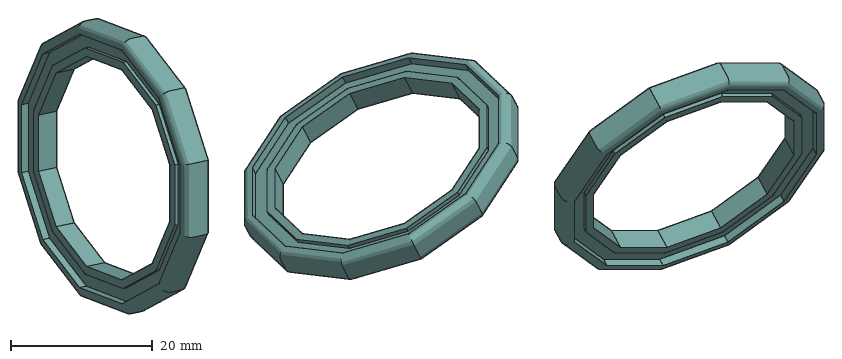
import cadquery as cq
import math

side_count = 12
width_across_flats = 40.48
thickness = 4.4
edge_radius = 1.2

groove_outer_inset = 1.6
groove_inner_inset = 3.6
bore_inset = 4.8

groove_depth = 1.2
lip_drop = 0.6


def prism(inset, depth):
    """Prism centred on the origin, with its flats set in from the outer flats."""
    half_width = width_across_flats / 2 - inset
    corner_diameter = 2 * half_width / math.cos(math.pi / side_count)
    half_step = 180 / side_count
    return (
        cq.Workplane("XZ")
        .polygon(side_count, corner_diameter)
        .extrude(depth / 2, both=True)
        .rotate((0, 0, 0), (0, 1, 0), half_step)
    )


def make_rim():
    """Full-thickness outer rim with both outer edge loops rounded."""
    body = prism(0, thickness).faces("<Y or >Y").edges().fillet(edge_radius)
    return body.cut(prism(groove_outer_inset, thickness))


def make_web():
    """Thin web forming the floor of the grooves on both faces."""
    web_thickness = thickness - 2 * groove_depth
    return prism(groove_outer_inset, web_thickness).cut(prism(bore_inset, thickness))


def make_inner_lip():
    """Lip around the bore, standing above the web but below the rim faces."""
    lip_thickness = thickness - 2 * lip_drop
    return prism(groove_inner_inset, lip_thickness).cut(prism(bore_inset, thickness))


result = make_rim().union(make_web()).union(make_inner_lip())